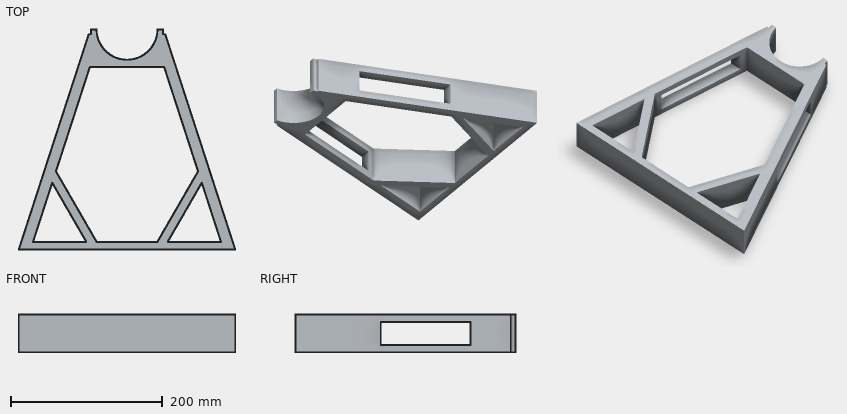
import cadquery as cq
import math

base_width = 285.25
length = 290.0
height = 50.0

side_angle = 18.0
side_thickness = 15.0
base_thickness = 10.0
strut_angle = 30.0
strut_thickness = 12.0
strut_foot_half_gap = 39.75

cradle_radius = 40.0
cradle_wall = 10.0
tip_width = 7.5
shoulder_depth = 6.5

window_start = 112.6
window_end = 230.3
window_margin = 10.0

side_slope = math.tan(math.radians(side_angle))
strut_slope = math.tan(math.radians(strut_angle))
side_run = side_thickness / math.cos(math.radians(side_angle))
strut_run = strut_thickness / math.cos(math.radians(strut_angle))
bridge_y = length - cradle_radius - cradle_wall
triangle_foot_x = strut_foot_half_gap + strut_run


def outer_x(y):
    """Half width of the frame at a distance y from its base edge."""
    return base_width / 2 - side_slope * y


def inner_x(y):
    """Half distance between the inner faces of the side walls at y."""
    return outer_x(y) - side_run


def strut_meeting_y(foot_x):
    """Y where a strut face starting at foot_x on the base wall meets the side wall."""
    return base_thickness + (inner_x(base_thickness) - foot_x) / (side_slope + strut_slope)


def prism(points):
    """Full-height prism over a closed polygon."""
    return cq.Workplane("XY").polyline(points).close().extrude(height)


def mirrored_outline(right_points):
    """Close an outline by adding the mirror image of its right half."""
    return right_points + [(-x, y) for x, y in reversed(right_points)]


def make_body():
    """Tapered block with shoulders and a half-round cradle at the narrow end."""
    shoulder_y = length - shoulder_depth
    tip_x = cradle_radius + tip_width
    body = prism(mirrored_outline([
        (outer_x(0), 0),
        (outer_x(shoulder_y), shoulder_y),
        (tip_x, shoulder_y),
        (tip_x, length),
    ]))
    cradle = cq.Workplane("XY").center(0, length).circle(cradle_radius).extrude(height)
    return body.cut(cradle)


def make_central_opening():
    """Six-sided opening between the base, struts, side walls and bridge."""
    corner_y = strut_meeting_y(strut_foot_half_gap)
    return prism(mirrored_outline([
        (strut_foot_half_gap, base_thickness),
        (inner_x(corner_y), corner_y),
        (inner_x(bridge_y), bridge_y),
    ]))


def make_corner_opening(side):
    """Triangular opening behind one strut; side is -1 for left, 1 for right."""
    apex_y = strut_meeting_y(triangle_foot_x)
    return prism([
        (side * triangle_foot_x, base_thickness),
        (side * inner_x(base_thickness), base_thickness),
        (side * inner_x(apex_y), apex_y),
    ])


def make_windows():
    """Bar along X that cuts a rectangular window through each side wall."""
    return cq.Workplane("XY").box(
        base_width,
        window_end - window_start,
        height - 2 * window_margin,
        centered=(True, False, False),
    ).translate((0, window_start, window_margin))


result = make_body().cut(make_central_opening())
for side in (-1, 1):
    result = result.cut(make_corner_opening(side))
result = result.cut(make_windows())